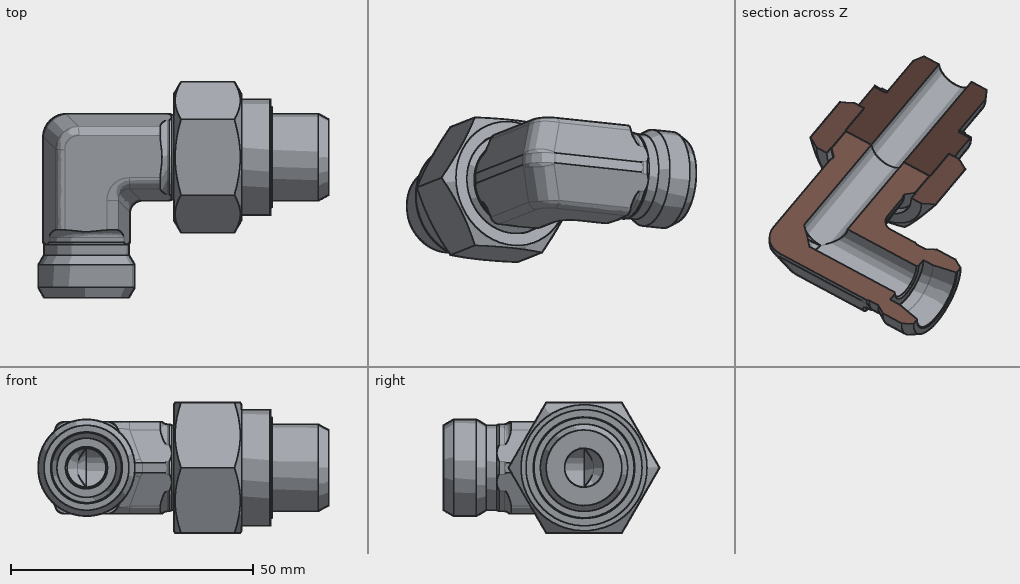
import cadquery as cq
import math


BLOCK_HALF_WIDTH = 9.0
BLOCK_HALF_HEIGHT = 9.5
FLAT_HALF_HEIGHT = 1.05
SIDE_DRAFT = 20.0
OUTER_BEND_RADIUS = 5.0
INNER_BEND_RADIUS = 2.5
EDGE_RADIUS = 2.0
END_FILLET_RADIUS = 1.5

SHOULDER_RADIUS = 9.0
LEG_SHOULDER_START = 16.5
LEG_SHOULDER_END = 17.5
LEG_NECK_RADIUS = 17.6 / 2
LEG_NECK_START = 18.0
RUN_SHOULDER_START = 16.7
RUN_SHOULDER_END = 17.1
RUN_NECK_RADIUS = 17.6 / 2
RUN_NECK_START = 17.6

LEG_LENGTH = 29.0
LEG_THREAD_RADIUS = 20.0 / 2
LEG_CONE_START = 20.2
LEG_THREAD_START = 22.2
LEG_CHAMFER_START = 26.85
THREAD_CHAMFER_ANGLE = 30.0

BORE_RADIUS = 8.0 / 2
DRILL_POINT_DEPTH = 3.8
BORE_CHAMFER = 0.35
SOCKET_RADIUS = 12.2 / 2
SOCKET_DEPTH = 7.5
MOUTH_RADIUS = 7.2
MOUTH_EDGE_BREAK = 0.2
MOUTH_CONE_ANGLE = 12.0

NUT_START = 18.0
NUT_LENGTH = 14.0
NUT_END = NUT_START + NUT_LENGTH
NUT_ACROSS_FLATS = 27.0
NUT_FACE_RADIUS = 13.0
NUT_CHAMFER_ANGLE = 30.0
NUT_BORE_RADIUS = 20.95 / 2

TAIL_START = NUT_START + NUT_BORE_RADIUS - RUN_NECK_RADIUS
TAIL_END = NUT_START + NUT_LENGTH / 2

COLLAR_RADIUS = 23.95 / 2
COLLAR_END = 37.8
STUD_RADIUS = 18.0 / 2
STUD_TIP_RADIUS = 15.6 / 2
STUD_CHAMFER_START = 47.8
STUD_END = 50.0

SEAL_FLANGE_END = COLLAR_END + 0.25
SEAL_LIP_END = SEAL_FLANGE_END + 0.25
SEAL_LIP_RADIUS = 20.95 / 2
SEAL_LIP_CHAMFER = 0.15


def tangent(degrees):
    return math.tan(math.radians(degrees))


def turned(points):
    """Solid of revolution about X, from (axial position, radius) points."""
    return cq.Workplane("XY").polyline(points).close().revolve(360, (0, 0, 0), (1, 0, 0))


def onto_leg(solid):
    """Turn a solid made along +X to lie along -Y."""
    return solid.rotate((0, 0, 0), (0, 0, 1), -90)


def bend_outline(workplane, half_width):
    """L-shaped outline with both arms twice as wide as half_width."""
    corners = [
        (-half_width, half_width),
        (RUN_NECK_START, half_width),
        (RUN_NECK_START, -half_width),
        (half_width, -half_width),
        (half_width, -LEG_NECK_START),
        (-half_width, -LEG_NECK_START),
    ]
    return workplane.polyline(corners).close()


def round_bend(block, side, radius):
    """Round the mitre edges on one side of the bend: -1 is the outside, 1 the inside."""
    inset = 3.0
    near, far = sorted((side * inset, side * (BLOCK_HALF_WIDTH + inset)))
    reach = BLOCK_HALF_WIDTH + inset
    zone = cq.selectors.BoxSelector((near, -far, -reach), (far, -near, reach))
    return block.edges(zone).fillet(radius)


def end_cut(shoulder_start, shoulder_end, neck_start, neck_radius):
    """Ring along +X that trims an arm to a round shoulder, concave before it and conical after it."""
    clear_radius = 2 * BLOCK_HALF_WIDTH
    top_radius = SHOULDER_RADIUS + END_FILLET_RADIUS
    rise_start = shoulder_start - END_FILLET_RADIUS
    arc_inset = END_FILLET_RADIUS * (1 - math.sqrt(0.5))
    profile = (
        cq.Workplane("XY")
        .moveTo(rise_start, clear_radius)
        .lineTo(rise_start, top_radius)
        .threePointArc((rise_start + arc_inset, SHOULDER_RADIUS + arc_inset), (shoulder_start, SHOULDER_RADIUS))
        .lineTo(shoulder_end, SHOULDER_RADIUS)
        .lineTo(neck_start, neck_radius)
        .lineTo(neck_start, clear_radius)
        .close()
    )
    return profile.revolve(360, (0, 0, 0), (1, 0, 0))


def elbow_block():
    """Bent bar with drafted sides, rounded bends and ends trimmed to round shoulders."""
    draft_height = BLOCK_HALF_HEIGHT - FLAT_HALF_HEIGHT
    top_half_width = BLOCK_HALF_WIDTH - draft_height * tangent(SIDE_DRAFT)
    band = bend_outline(cq.Workplane("XY"), BLOCK_HALF_WIDTH).extrude(FLAT_HALF_HEIGHT, both=True)
    upper = bend_outline(cq.Workplane("XY", origin=(0, 0, FLAT_HALF_HEIGHT)), BLOCK_HALF_WIDTH)
    upper = bend_outline(upper.workplane(offset=draft_height), top_half_width).loft(ruled=True)
    block = band.union(upper).union(upper.mirror("XY"))
    block = round_bend(block, -1, OUTER_BEND_RADIUS)
    block = round_bend(block, 1, INNER_BEND_RADIUS)
    block = block.faces("|Z").edges("not(>X or <Y)").fillet(EDGE_RADIUS)
    run_cut = end_cut(RUN_SHOULDER_START, RUN_SHOULDER_END, RUN_NECK_START, RUN_NECK_RADIUS)
    leg_cut = end_cut(LEG_SHOULDER_START, LEG_SHOULDER_END, LEG_NECK_START, LEG_NECK_RADIUS)
    return block.cut(run_cut).cut(onto_leg(leg_cut))


def run_end():
    """Neck that flares inside the nut to a tail filling the nut bore."""
    return turned(
        [
            (RUN_NECK_START, 0),
            (RUN_NECK_START, RUN_NECK_RADIUS),
            (NUT_START, RUN_NECK_RADIUS),
            (TAIL_START, NUT_BORE_RADIUS),
            (TAIL_END, NUT_BORE_RADIUS),
            (TAIL_END, 0),
        ]
    )


def leg_end():
    """Neck, cone and chamfered thread, laid along +X."""
    chamfer_drop = (LEG_LENGTH - LEG_CHAMFER_START) * tangent(THREAD_CHAMFER_ANGLE)
    return turned(
        [
            (LEG_NECK_START, 0),
            (LEG_NECK_START, LEG_NECK_RADIUS),
            (LEG_CONE_START, LEG_NECK_RADIUS),
            (LEG_THREAD_START, LEG_THREAD_RADIUS),
            (LEG_CHAMFER_START, LEG_THREAD_RADIUS),
            (LEG_LENGTH, LEG_THREAD_RADIUS - chamfer_drop),
            (LEG_LENGTH, 0),
        ]
    )


def leg_bore():
    """Tube socket with a conical mouth, then the flow bore ending in a conical drill point."""
    socket_end = LEG_LENGTH - SOCKET_DEPTH
    cone_length = (MOUTH_RADIUS - SOCKET_RADIUS) / tangent(MOUTH_CONE_ANGLE)
    return turned(
        [
            (-DRILL_POINT_DEPTH, 0),
            (0, BORE_RADIUS),
            (socket_end - BORE_CHAMFER, BORE_RADIUS),
            (socket_end, BORE_RADIUS + BORE_CHAMFER),
            (socket_end, SOCKET_RADIUS),
            (LEG_LENGTH - cone_length, SOCKET_RADIUS),
            (LEG_LENGTH - MOUTH_EDGE_BREAK, MOUTH_RADIUS),
            (LEG_LENGTH, MOUTH_RADIUS + MOUTH_EDGE_BREAK),
            (LEG_LENGTH, 0),
        ]
    )


def run_bore():
    """Flow bore of the run, ending in a conical drill point."""
    return turned([(-DRILL_POINT_DEPTH, 0), (0, BORE_RADIUS), (TAIL_END, BORE_RADIUS), (TAIL_END, 0)])


def make_elbow():
    elbow = elbow_block().union(run_end()).union(onto_leg(leg_end()))
    return elbow.cut(run_bore()).cut(onto_leg(leg_bore()))


def make_nut():
    """Hexagon with two flats facing up and down, chamfered at both ends."""
    corner_radius = NUT_ACROSS_FLATS / 2 / math.cos(math.radians(30))
    hexagon = cq.Workplane("YZ", origin=(NUT_START, 0, 0)).polygon(6, 2 * corner_radius).extrude(NUT_LENGTH)
    chamfer_length = (corner_radius - NUT_FACE_RADIUS) * tangent(NUT_CHAMFER_ANGLE)
    chamfered_round = turned(
        [
            (NUT_START, 0),
            (NUT_START, NUT_FACE_RADIUS),
            (NUT_START + chamfer_length, corner_radius),
            (NUT_END - chamfer_length, corner_radius),
            (NUT_END, NUT_FACE_RADIUS),
            (NUT_END, 0),
        ]
    )
    bore = turned([(NUT_START, 0), (NUT_START, NUT_BORE_RADIUS), (NUT_END, NUT_BORE_RADIUS), (NUT_END, 0)])
    return hexagon.intersect(chamfered_round).cut(bore)


def make_stud():
    """Spigot inside the nut, collar and threaded shank, with the flow bore right through."""
    return turned(
        [
            (TAIL_END, BORE_RADIUS),
            (TAIL_END, NUT_BORE_RADIUS),
            (NUT_END, NUT_BORE_RADIUS),
            (NUT_END, COLLAR_RADIUS),
            (COLLAR_END, COLLAR_RADIUS),
            (COLLAR_END, STUD_RADIUS),
            (STUD_CHAMFER_START, STUD_RADIUS),
            (STUD_END, STUD_TIP_RADIUS),
            (STUD_END, BORE_RADIUS),
        ]
    )


def make_seal_ring():
    """Flat ring on the collar face with a raised inner lip."""
    return turned(
        [
            (COLLAR_END, STUD_RADIUS),
            (COLLAR_END, COLLAR_RADIUS),
            (SEAL_FLANGE_END, COLLAR_RADIUS),
            (SEAL_FLANGE_END, SEAL_LIP_RADIUS),
            (SEAL_LIP_END, SEAL_LIP_RADIUS - SEAL_LIP_CHAMFER),
            (SEAL_LIP_END, STUD_RADIUS),
        ]
    )


elbow = make_elbow()
nut = make_nut()
stud = make_stud()
seal_ring = make_seal_ring()

result = cq.Compound.makeCompound([body.solids().val() for body in (elbow, nut, stud, seal_ring)])